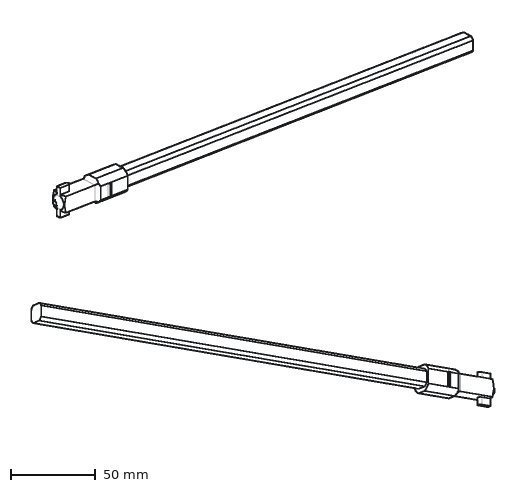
import cadquery as cq

total_length = 320.0
shaft_width = 11.0
shaft_corner_radius = 6.5
collar_width_x = 15.0
collar_width_z = 16.3
collar_corner_radius = 8.8
collar_length = 21.0
flare_radius = 2.5
head_length = 26.2
nub_length = 3.0
nub_radius = 1.5
nub_flare = 2.5
end_bevel_radius = 4.8
end_bevel_depth = 1.5
fin_width = 3.2
fin_length = 8.0
fin_span = 20.0
ridge_span = 17.3
ridge_setback = 6.7
ridge_land = 1.0
ridge_height = 9.0

tip_y = -total_length / 2
head_y = tip_y + nub_length
collar_front_y = head_y + head_length
collar_back_y = collar_front_y + collar_length
shaft_length = total_length / 2 - collar_back_y
half_head = shaft_width / 2


def rounded_bar(width_x, width_z, corner_radius, start_y, length):
    """Bar along +Y: a cylinder with four flats."""
    cylinder = cq.Workplane("XZ", origin=(0, start_y, 0)).circle(corner_radius).extrude(-length)
    flats = cq.Workplane("XZ", origin=(0, start_y, 0)).rect(width_x, width_z).extrude(-length)
    return cylinder.intersect(flats)


def flared_profile(plane_name):
    """Square-head outline that flares through concave arcs into the collar face."""
    flare_start = collar_front_y - flare_radius
    outer = half_head + flare_radius
    bend = flare_radius * (1 - 0.5 ** 0.5)
    bend_y = flare_start + flare_radius - bend
    return (
        cq.Workplane(plane_name)
        .moveTo(-half_head, head_y)
        .lineTo(half_head, head_y)
        .lineTo(half_head, flare_start)
        .threePointArc((half_head + bend, bend_y), (outer, collar_front_y))
        .lineTo(-outer, collar_front_y)
        .threePointArc((-half_head - bend, bend_y), (-half_head, flare_start))
        .close()
        .extrude(collar_width_z, both=True)
    )


def end_bevel_cone():
    """Long cylinder whose conical front bevels the end of the head."""
    return (
        cq.Workplane("XZ", origin=(0, head_y, 0))
        .circle(collar_corner_radius)
        .extrude(-head_length)
        .faces("<Y")
        .chamfer(end_bevel_depth, collar_corner_radius - end_bevel_radius)
    )


def square_head():
    """Square drive with a flared root and a conically bevelled end."""
    flared = flared_profile("XY").intersect(flared_profile("ZY"))
    envelope = rounded_bar(
        collar_width_x, collar_width_z, collar_corner_radius, head_y, head_length
    )
    return flared.intersect(envelope).intersect(end_bevel_cone())


def nub():
    """Round nub with a concave foot on the end of the head."""
    bend = nub_flare * (1 - 0.5 ** 0.5)
    return (
        cq.Workplane("XY")
        .moveTo(0, tip_y)
        .lineTo(nub_radius, tip_y)
        .lineTo(nub_radius, head_y - nub_flare)
        .threePointArc((nub_radius + bend, head_y - bend), (nub_radius + nub_flare, head_y))
        .lineTo(0, head_y)
        .close()
        .revolve(360, (0, 0, 0), (0, 1, 0))
    )


def fins():
    """Upright key through the head, straight at the front and round at the back."""
    radius = fin_width / 2
    back_y = head_y + fin_length
    return (
        cq.Workplane("XY")
        .moveTo(-radius, head_y)
        .lineTo(radius, head_y)
        .lineTo(radius, back_y - radius)
        .threePointArc((0, back_y), (-radius, back_y - radius))
        .close()
        .extrude(fin_span / 2, both=True)
    )


def ridges():
    """Ridge across each side flat of the collar: square behind, concave in front."""
    land_y = collar_front_y + ridge_setback
    back_y = land_y + ridge_land
    flat_x = collar_width_x / 2
    crest_x = ridge_span / 2
    rise = crest_x - flat_x
    bend = rise * (1 - 0.5 ** 0.5)
    ridge = (
        cq.Workplane("XY")
        .moveTo(0, back_y)
        .lineTo(crest_x, back_y)
        .lineTo(crest_x, land_y)
        .threePointArc((flat_x + bend, land_y - bend), (flat_x, land_y - rise))
        .lineTo(0, land_y - rise)
        .close()
        .extrude(ridge_height / 2, both=True)
    )
    return ridge.union(ridge.mirror("YZ"))


shaft = rounded_bar(shaft_width, shaft_width, shaft_corner_radius, collar_back_y, shaft_length)
collar = rounded_bar(
    collar_width_x, collar_width_z, collar_corner_radius, collar_front_y, collar_length
)
result = shaft.union(collar).union(square_head()).union(nub()).union(fins()).union(ridges())